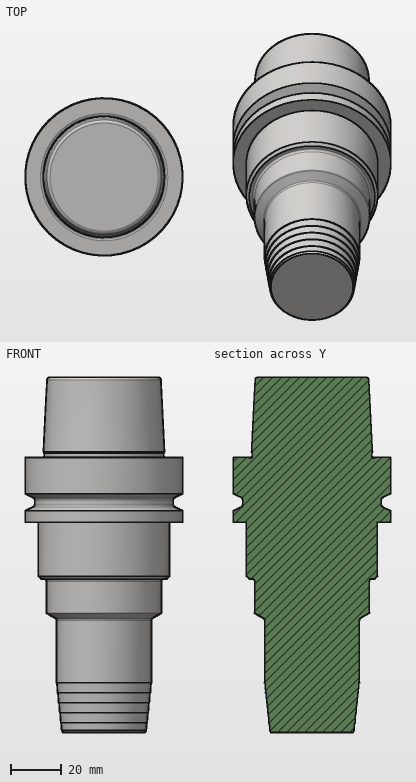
import math

import cadquery as cq


shank_height = 32.0
gauge_radius = 24.005
gauge_height = 6.3
taper_slope = 0.05
shank_base = 2.2
shank_top_round = 1.2

neck_radius = 23.9
neck_top = 1.5
neck_foot_round = 0.6
relief_radius = 25.4
relief_depth = 0.4

flange_radius = 31.5
flange_height = 26.0
flange_chamfer = 0.2
groove_center = -17.95
groove_width = 6.8
groove_floor_radius = 27.7
groove_wall_angle = 26.0
groove_floor_round = 0.9

collar_radius = 26.25
collar_bottom = -48.6
collar_chamfer = 1.2
waist_radius = 23.0
waist_top_round = 0.9
waist_bottom = -62.2
waist_edge_round = 0.4
nose_radius = 19.0
nose_shoulder_angle = 30.0
nose_top_round = 0.8

nose_length = 109.9
ring_pitch = 4.0
ring_count = 5
cone_top = -nose_length + ring_count * ring_pitch
ring_step = 0.18
cone_angle = 3.5
nose_chamfer_height = 0.9
nose_chamfer_inset = 0.5


def revolve(profile):
    """Turn a closed radius-height profile about the Z axis."""
    return profile.revolve(360, (0, 0, 0), (0, 1, 0))


def circles_at(part, radius, z):
    """Circular edges of the given radius at height z."""
    tolerance = 0.01
    box = cq.selectors.BoxSelector(
        (-radius - tolerance, -radius - tolerance, z - tolerance),
        (radius + tolerance, radius + tolerance, z + tolerance),
        boundingbox=True,
    )
    rim = cq.selectors.RadiusNthSelector(-1)
    return part.edges(box).edges(rim)


def shank_radius(z):
    """Radius of the tapered shank at height z."""
    return gauge_radius - taper_slope * (z - gauge_height)


def make_shank():
    shank = revolve(cq.Workplane("XZ").polyline([
        (0, -relief_depth),
        (neck_radius, -relief_depth),
        (neck_radius, neck_top),
        (shank_radius(shank_base), shank_base),
        (shank_radius(shank_height), shank_height),
        (0, shank_height),
    ]).close())
    return shank.faces(">Z").edges().fillet(shank_top_round)


def make_relief():
    """Shallow dished cutter that sinks the flange face around the neck."""
    return revolve(cq.Workplane("XZ").polyline([
        (0, 0),
        (relief_radius, 0),
        (neck_radius, -relief_depth),
        (0, -relief_depth),
    ]).close())


def make_groove():
    """V-shaped ring cutter with rounded corners at the groove floor."""
    wall_depth = flange_radius - groove_floor_radius
    half_width = groove_width / 2
    half_floor = half_width - wall_depth * math.tan(math.radians(groove_wall_angle))
    clear_radius = flange_radius + 1
    groove = revolve(cq.Workplane("XZ").polyline([
        (clear_radius, groove_center + half_width),
        (flange_radius, groove_center + half_width),
        (groove_floor_radius, groove_center + half_floor),
        (groove_floor_radius, groove_center - half_floor),
        (flange_radius, groove_center - half_width),
        (clear_radius, groove_center - half_width),
    ]).close())
    floor_edges = groove.edges(cq.selectors.RadiusNthSelector(0))
    return floor_edges.fillet(groove_floor_round)


def make_flange():
    flange = cq.Workplane("XY").circle(flange_radius).extrude(-flange_height)
    flange = flange.faces(">Z").edges().chamfer(flange_chamfer)
    return flange.cut(make_groove()).cut(make_relief())


def make_body():
    """Collar, waist and straight nose, rounded where the diameters change."""
    shoulder_drop = (waist_radius - nose_radius) * math.tan(math.radians(nose_shoulder_angle))
    nose_top = waist_bottom - shoulder_drop
    body = revolve(cq.Workplane("XZ").polyline([
        (0, -flange_height),
        (collar_radius, -flange_height),
        (collar_radius, collar_bottom + collar_chamfer),
        (collar_radius - collar_chamfer, collar_bottom),
        (waist_radius, collar_bottom),
        (waist_radius, waist_bottom),
        (nose_radius, nose_top),
        (nose_radius, cone_top),
        (0, cone_top),
    ]).close())
    body = circles_at(body, waist_radius, collar_bottom).fillet(waist_top_round)
    body = circles_at(body, waist_radius, waist_bottom).fillet(waist_edge_round)
    return circles_at(body, nose_radius, nose_top).fillet(nose_top_round)


def make_cone():
    """Conical nose whose rings each start one shallow step further in."""
    ring_taper = ring_pitch * math.tan(math.radians(cone_angle))
    chamfer_taper = nose_chamfer_height * math.tan(math.radians(cone_angle))
    points = [(0, cone_top)]
    radius = nose_radius
    for ring in range(ring_count):
        top = cone_top - ring * ring_pitch
        radius -= ring_step
        points.append((radius, top))
        radius -= ring_taper
        points.append((radius, top - ring_pitch))
    tip_radius, tip = points.pop()
    points += [
        (tip_radius + chamfer_taper, tip + nose_chamfer_height),
        (tip_radius - nose_chamfer_inset, tip),
        (0, tip),
    ]
    return revolve(cq.Workplane("XZ").polyline(points).close())


head = circles_at(make_flange().union(make_shank()), neck_radius, -relief_depth).fillet(neck_foot_round)
result = head.union(make_body()).union(make_cone())